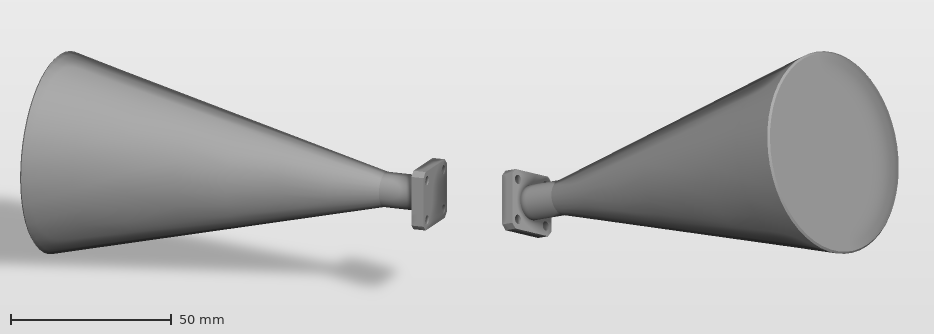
import cadquery as cq

total_length = 127.0
mouth_diameter = 63.7
half_length = total_length / 2

rim_bevel_length = 0.6
rim_bevel_depth = 0.6

neck_diameter = 11.1
neck_length = 12.6

flange_side = 18.95
flange_thickness = 4.1
flange_corner_bevel = 1.6
hole_diameter = 2.9
hole_spacing_y = 13.46
hole_spacing_z = 12.7

mouth_x = -half_length
rim_x = mouth_x + rim_bevel_length
flange_end_x = half_length
flange_x = flange_end_x - flange_thickness
neck_x = flange_x - neck_length


def make_horn():
    """Solid cone with a bevelled rim, running into the neck, turned about X."""
    mouth_radius = mouth_diameter / 2
    neck_radius = neck_diameter / 2
    profile = (
        cq.Workplane("XZ")
        .moveTo(mouth_x, 0)
        .lineTo(mouth_x, mouth_radius - rim_bevel_depth)
        .lineTo(rim_x, mouth_radius)
        .lineTo(neck_x, neck_radius)
        .lineTo(flange_x, neck_radius)
        .lineTo(flange_x, 0)
        .close()
    )
    return profile.revolve(360, (0, 0, 0), (1, 0, 0))


def make_flange():
    """Square plate with its four corners bevelled and drilled through."""
    plate = (
        cq.Workplane("YZ", origin=(flange_x, 0, 0))
        .rect(flange_side, flange_side)
        .extrude(flange_thickness)
        .edges("|X")
        .chamfer(flange_corner_bevel)
    )
    return (
        plate.faces(">X")
        .workplane(origin=(flange_end_x, 0, 0))
        .rect(hole_spacing_y, hole_spacing_z, forConstruction=True)
        .vertices()
        .hole(hole_diameter)
    )


result = make_horn().union(make_flange())